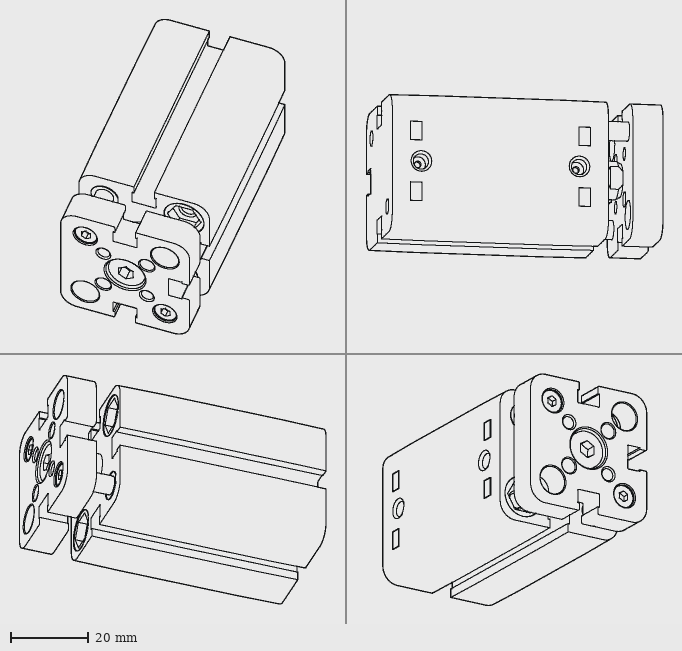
import cadquery as cq
import math


total_length = 71.6
plate_thickness = 8.0
body_start = 14.45
cap_length = 11.8
body_length = total_length - body_start

body_width = 36.3
cap_end_width = 36.1
plate_width = 35.65
corner_radius = 4.5

overlap = 0.7

slot_opening = 5.65
slot_width = 6.6
slot_floor = 12.0
slot_lip_base = 15.7
slot_lip_round = 0.4
slot_corner_round = 0.2

guide_spacing = 22.0
guide_offset = guide_spacing / 2
mount_offset = 6.0
screw_corners = [(-guide_offset, guide_offset), (guide_offset, -guide_offset)]
access_corners = [(guide_offset, guide_offset), (-guide_offset, -guide_offset)]
thread_corners = [(-mount_offset, mount_offset), (mount_offset, -mount_offset)]
pin_corners = [(mount_offset, mount_offset), (-mount_offset, -mount_offset)]

access_diameter = 7.5
access_mouth = 8.0
thread_diameter = 3.3
thread_mouth = 4.15
pin_diameter = 4.0
pin_mouth = 4.6

centre_counterbore = 10.9
centre_mouth = 11.6
centre_head = 10.0
centre_head_round = 0.6
centre_head_depth = 0.7
centre_hex = 4.0
corner_counterbore = 6.15
corner_mouth = 6.7
corner_head = 6.0
corner_head_round = 0.35
corner_head_depth = 0.4
corner_hex = 2.5
screw_seat_depth = 5.7
socket_depth_ratio = 0.7
socket_tip_ratio = 1 / 3

rod_diameter = 10.0
rod_tip_diameter = 8.7
rod_tip_length = 1.15
rod_flat_width = 8.0
rod_flat_length = 3.2
guide_diameter = 5.0
guide_clearance = 7.5
guide_clearance_depth = 0.2

tie_rim_diameter = 11.1
tie_head_diameter = 10.9
tie_head_depth = 0.2
tie_hex = 8.0
tie_hex_depth = 2.85
tie_cone_diameter = 5.0
tie_bore = 4.0

port_offset = 7.65
port_diameter = 4.0
port_mouth = 5.5
port_depth = 5.0
port_feed_diameter = 1.7
port_feed_depth = 6.45
label_offset = 6.3
label_height = 8.0
label_length = 3.0
label_width = 4.9
label_depth = 0.15


def plane_at(y):
    """Plane facing +Y whose local axes follow -X and +Z."""
    return cq.Workplane(cq.Plane(origin=(0, y, 0), xDir=(-1, 0, 0), normal=(0, 1, 0)))


def disc(x, z, y, diameter, length):
    """Cylinder from y to y + length."""
    return plane_at(y).center(-x, z).circle(diameter / 2).extrude(length)


def cone(x, z, y, start_diameter, end_diameter, length):
    """Truncated cone from y to y + length."""
    start = cq.Vector(x, y, z)
    solid = cq.Solid.makeCone(start_diameter / 2, end_diameter / 2, length, start, cq.Vector(0, 1, 0))
    return cq.Workplane(solid)


def countersunk_hole(x, z, y, diameter, mouth, length):
    """Round hole with a 45 degree chamfer at its front."""
    chamfer = (mouth - diameter) / 2
    return disc(x, z, y, diameter, length).union(cone(x, z, y, mouth, diameter, chamfer))


def corner_to_corner(across_flats):
    """Size of a hexagon across its corners."""
    return across_flats / math.cos(math.pi / 6)


def hex_prism(x, z, y, across_flats, length, turn):
    """Hexagonal prism; a turn of 30 degrees points its corners along Z."""
    circumscribed = corner_to_corner(across_flats)
    prism = plane_at(y).polygon(6, circumscribed).extrude(length)
    return prism.rotate((0, 0, 0), (0, 1, 0), turn).translate((x, 0, z))


def hex_socket(x, z, y, across_flats):
    """Hexagonal socket with a conical bottom."""
    depth = socket_depth_ratio * across_flats
    circumscribed = corner_to_corner(across_flats)
    tip = cone(x, z, y + depth, circumscribed, 0, socket_tip_ratio * circumscribed)
    prism = hex_prism(x, z, y, across_flats, 2 * depth, 30)
    return prism.intersect(tip.union(disc(x, z, y, circumscribed, depth)))


def rounded_block(y, width, length):
    block = plane_at(y).rect(width, width).extrude(length)
    return block.edges("|Y").fillet(corner_radius)


def rounded_square(width):
    return cq.Sketch().rect(width, width).vertices().fillet(corner_radius)


def end_cap(seam, end):
    """Cap that narrows slightly from the seam to the end of the body."""
    end_section = rounded_square(cap_end_width).moved(cq.Location(cq.Vector(0, 0, end - seam)))
    return plane_at(seam).placeSketch(rounded_square(body_width), end_section).loft()


def t_slot(y, length, lip_round):
    """Slot along Y, open at the +Z side, with rounded lip edges if lip_round is above zero."""
    slot_top = body_width
    neck = slot_opening / 2
    profile = plane_at(y).center(0, (slot_floor + slot_lip_base) / 2)
    wide = profile.rect(slot_width, slot_lip_base - slot_floor).extrude(length)
    wide = wide.edges("|Y and <Z").fillet(slot_corner_round)
    throat = plane_at(y).center(0, (slot_floor + slot_top) / 2)
    slot = wide.union(throat.rect(slot_opening, slot_top - slot_floor).extrude(length))
    if lip_round > 0:
        edge = plate_width / 2
        flare = (
            plane_at(y)
            .moveTo(-neck - lip_round, edge)
            .radiusArc((-neck, edge - lip_round), lip_round)
            .lineTo(neck, edge - lip_round)
            .radiusArc((neck + lip_round, edge), lip_round)
            .close()
            .extrude(length)
        )
        slot = slot.union(flare)
    return slot


def cut_slots(part, y, length, lip_round):
    """Slots at the +Z, +X and -Z sides."""
    slot = t_slot(y, length, lip_round)
    for turn in (0, 90, 180):
        part = part.cut(slot.rotate((0, 0, 0), (0, 1, 0), turn))
    return part


def plate_screw(x, z, counterbore, mouth, head, head_round, head_depth, across_flats):
    """Counterbore and the socket head screw that sits in it."""
    hole = countersunk_hole(x, z, 0, counterbore, mouth, screw_seat_depth)
    screw = disc(x, z, head_depth, head, screw_seat_depth - head_depth + overlap)
    screw = screw.faces("<Y").edges().fillet(head_round)
    return hole, screw.cut(hex_socket(x, z, head_depth, across_flats))


def make_plate():
    plate = rounded_block(0, plate_width, plate_thickness)
    plate = cut_slots(plate, 0, plate_thickness, slot_lip_round)
    for corners, diameter, mouth in (
        (access_corners, access_diameter, access_mouth),
        (thread_corners, thread_diameter, thread_mouth),
        (pin_corners, pin_diameter, pin_mouth),
    ):
        for x, z in corners:
            plate = plate.cut(countersunk_hole(x, z, 0, diameter, mouth, plate_thickness))
    screws = [
        plate_screw(
            0, 0, centre_counterbore, centre_mouth, centre_head, centre_head_round,
            centre_head_depth, centre_hex,
        )
    ]
    for x, z in screw_corners:
        screws.append(
            plate_screw(
                x, z, corner_counterbore, corner_mouth, corner_head, corner_head_round,
                corner_head_depth, corner_hex,
            )
        )
    for hole, screw in screws:
        plate = plate.cut(hole).union(screw)
    return plate


def tie_screw_recess(x, z):
    """Head recess, hexagonal socket and through bore of a hollow tie screw."""
    y = body_start
    socket_end = y + tie_head_depth + tie_hex_depth
    recess = cone(x, z, y, tie_rim_diameter, tie_head_diameter, tie_head_depth)
    recess = recess.union(hex_prism(x, z, y, tie_hex, tie_head_depth + tie_hex_depth, 0))
    recess = recess.union(countersunk_hole(x, z, socket_end, tie_bore, tie_cone_diameter, body_length))
    return recess


def side_port(y):
    """Stepped port entering from the -X side."""
    side = cq.Workplane("YZ", origin=(-body_width / 2, y, 0))
    port = side.circle(port_diameter / 2).extrude(port_depth)
    port = port.union(side.circle(port_feed_diameter / 2).extrude(port_feed_depth))
    chamfer = (port_mouth - port_diameter) / 2
    mouth = cq.Solid.makeCone(
        port_mouth / 2, port_diameter / 2, chamfer, cq.Vector(-body_width / 2, y, 0), cq.Vector(1, 0, 0)
    )
    return port.union(cq.Workplane(mouth))


def label_recess(y, z):
    depth = (body_width - cap_end_width) / 2 + label_depth
    recess = cq.Workplane("YZ", origin=(-body_width / 2, y, z))
    return recess.rect(label_length, label_width).extrude(depth)


def make_body():
    front_seam = body_start + cap_length
    rear_seam = total_length - cap_length
    body = rounded_block(front_seam, body_width, rear_seam - front_seam)
    body = body.union(end_cap(front_seam, body_start)).union(end_cap(rear_seam, total_length))
    body = cut_slots(body, body_start, body_length, 0)
    for x, z in access_corners:
        body = body.cut(tie_screw_recess(x, z))
    for x, z in screw_corners:
        body = body.cut(disc(x, z, body_start, guide_clearance, guide_clearance_depth))
    for y in (body_start + port_offset, total_length - port_offset):
        body = body.cut(side_port(y))
    for y in (body_start + label_offset, total_length - label_offset):
        for z in (label_height, -label_height):
            body = body.cut(label_recess(y, z))
    return body


def make_piston_rod():
    """Round rod with a conical tip and two wrench flats that run out at 45 degrees."""
    tip_end = plate_thickness + rod_tip_length
    rod = disc(0, 0, tip_end, rod_diameter, body_start - tip_end + overlap)
    rod = rod.union(cone(0, 0, plate_thickness, rod_tip_diameter, rod_diameter, rod_tip_length))
    flat_x = rod_flat_width / 2
    flat_end = plate_thickness + rod_flat_length
    runout = rod_diameter - flat_x
    for side in (1, -1):
        flat_cut = (
            cq.Workplane("XY", origin=(0, 0, -rod_diameter))
            .moveTo(side * flat_x, plate_thickness)
            .lineTo(side * flat_x, flat_end)
            .lineTo(side * rod_diameter, flat_end + runout)
            .lineTo(side * rod_diameter, plate_thickness)
            .close()
            .extrude(2 * rod_diameter)
        )
        rod = rod.cut(flat_cut)
    return rod


def make_guide_rod(x, z):
    start = plate_thickness - overlap
    end = body_start + guide_clearance_depth + overlap
    return disc(x, z, start, guide_diameter, end - start)


result = make_body().union(make_plate()).union(make_piston_rod())
for rod_x, rod_z in screw_corners:
    result = result.union(make_guide_rod(rod_x, rod_z))